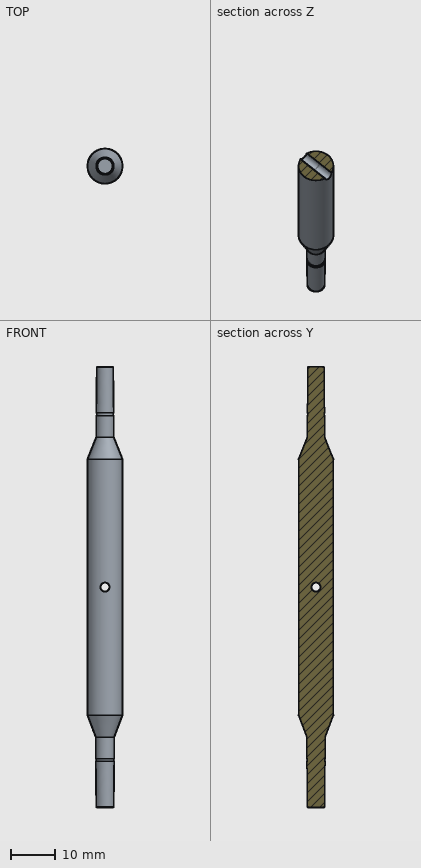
import cadquery as cq

length = 100.0
body_diameter = 8.0

upper_shank_diameter = 4.0
lower_shank_diameter = 4.22

groove_depth = 0.1
tip_taper = 0.1
tip_chamfer = 0.2

tip_length = 10.5
groove_width = 0.6
shank_length = 4.9
cone_length = 5.0

hole_diameter = 2.0


def end_profile(shank_diameter):
    """Half profile of one end as (radius, distance from mid plane), from body to tip."""
    shank_radius = shank_diameter / 2
    groove_radius = shank_radius - groove_depth
    tip_radius = shank_radius - tip_taper

    tip_end = length / 2
    tip_base = tip_end - tip_length
    shank_end = tip_base - groove_width
    cone_end = shank_end - shank_length
    cone_base = cone_end - cone_length

    return [
        (body_diameter / 2, cone_base),
        (shank_radius, cone_end),
        (shank_radius, shank_end),
        (groove_radius, shank_end),
        (groove_radius, tip_base),
        (shank_radius, tip_base),
        (tip_radius, tip_end - tip_chamfer),
        (tip_radius - tip_chamfer, tip_end),
        (0, tip_end),
    ]


def make_rod():
    """Revolve the half profiles of both ends, joined along the straight body."""
    upper = end_profile(upper_shank_diameter)
    lower = [(radius, -distance) for radius, distance in reversed(end_profile(lower_shank_diameter))]
    profile = cq.Workplane("XZ").polyline(lower + upper).close()
    return profile.revolve(360, (0, 0, 0), (0, 1, 0))


def make_cross_hole():
    """Cylinder along Y that passes right through the body."""
    return cq.Workplane("XZ").circle(hole_diameter / 2).extrude(body_diameter, both=True)


result = make_rod().cut(make_cross_hole())